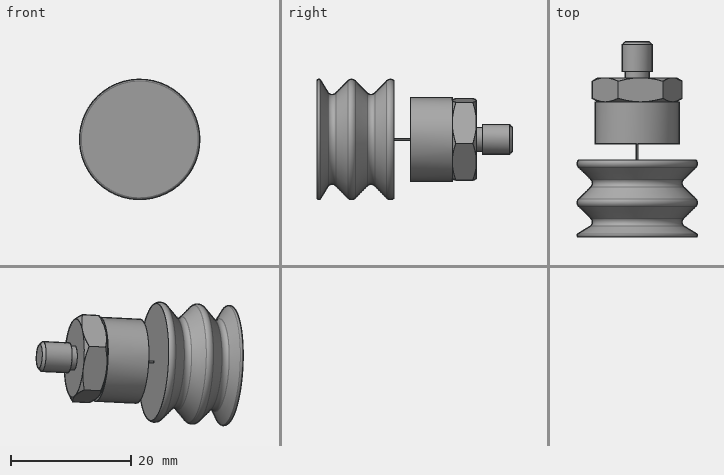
import cadquery as cq
import math

total_length = 32.5

stud_radius = 2.5
stud_length = 5.0
stud_chamfer = 0.52
neck_radius = 2.0
neck_length = 1.0

hex_across_flats = 13.0
hex_thickness = 4.0
hex_turn = 5.0
hex_chamfer_angle = 30.0

sleeve_radius = 7.005
sleeve_length = 7.0

bellows_length = 12.85
ridge_radius = 10.0
groove_radius = 7.48
fold_pitch = 6.47
fold_bend_radius = 0.88
fold_bend_angle = 45.0

lip_back_radius = 9.9
lip_back = 0.55
lip_widest = 0.25
lip_face_radius = 9.72

pin_radius = 0.15

stud_shoulder = total_length - stud_length
hex_back = stud_shoulder - neck_length
hex_front = hex_back - hex_thickness
sleeve_front = hex_front - sleeve_length

axis_start = (0, 0, 0)
axis_end = (0, 1, 0)


def cylinder(radius, start, end):
    """Solid cylinder on the Y axis between two Y stations."""
    return cq.Workplane("XZ", origin=(0, start, 0)).circle(radius).extrude(start - end)


def make_stud():
    thread = cylinder(stud_radius, stud_shoulder, total_length).faces(">Y").chamfer(stud_chamfer)
    return thread.union(cylinder(neck_radius, hex_back, stud_shoulder))


def make_hex_collar():
    """Hexagonal prism whose corners are bevelled by a cone at both ends."""
    flat_radius = hex_across_flats / 2
    corner_radius = flat_radius / math.cos(math.radians(30))
    bevel_depth = (corner_radius - flat_radius) * math.tan(math.radians(hex_chamfer_angle))
    prism = (
        cq.Workplane("XZ", origin=(0, hex_front, 0))
        .polygon(6, 2 * corner_radius)
        .extrude(-hex_thickness)
        .rotate(axis_start, axis_end, hex_turn)
    )
    bevel_envelope = (
        cq.Workplane("XY")
        .moveTo(0, hex_front)
        .lineTo(flat_radius, hex_front)
        .lineTo(corner_radius, hex_front + bevel_depth)
        .lineTo(corner_radius, hex_back - bevel_depth)
        .lineTo(flat_radius, hex_back)
        .lineTo(0, hex_back)
        .close()
        .revolve(360, axis_start, axis_end)
    )
    return prism.intersect(bevel_envelope)


def make_bellows():
    """Revolved fold profile, drawn from the back face down to the lip."""
    bend_angle = math.radians(fold_bend_angle)
    half_bend = fold_bend_radius * math.sin(bend_angle)
    bend_rise = fold_bend_radius * (1 - math.cos(bend_angle))
    ridge_edge = ridge_radius - bend_rise
    groove_edge = groove_radius + bend_rise

    profile = cq.Workplane("XY").moveTo(0, bellows_length)
    for fold in range(2):
        ridge = bellows_length - half_bend - fold * fold_pitch
        groove = ridge - fold_pitch / 2
        profile = (
            profile.lineTo(ridge_edge, ridge + half_bend)
            .threePointArc((ridge_radius, ridge), (ridge_edge, ridge - half_bend))
            .lineTo(groove_edge, groove + half_bend)
            .threePointArc((groove_radius, groove), (groove_edge, groove - half_bend))
        )
    profile = (
        profile.lineTo(lip_back_radius, lip_back)
        .threePointArc((ridge_radius, lip_widest), (lip_face_radius, 0))
        .lineTo(0, 0)
        .close()
    )
    return profile.revolve(360, axis_start, axis_end)


sleeve = cylinder(sleeve_radius, sleeve_front, hex_front)
joining_pin = cylinder(pin_radius, bellows_length, sleeve_front)

result = make_stud().union(make_hex_collar()).union(sleeve).union(joining_pin).union(make_bellows())